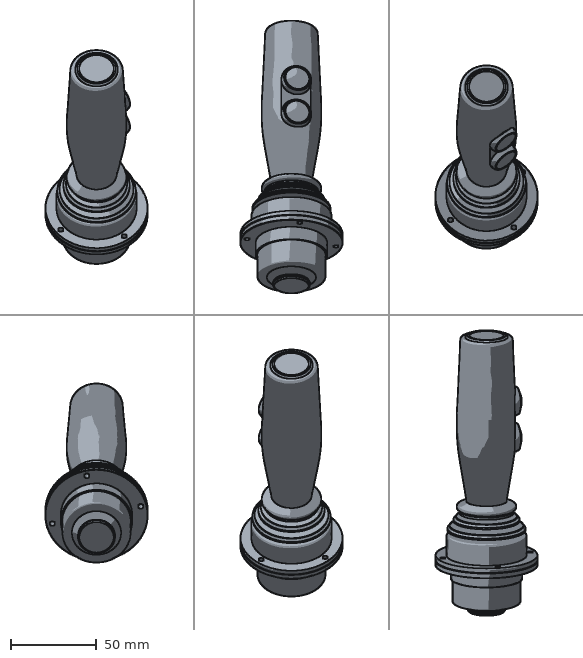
import cadquery as cq

flange_dia = 60.0
flange_edge = 0.25
flange_bevel_height = 0.8
flange_bottom = 28.1
flange_seam = 31.3
flange_top = 34.1
bolt_circle_radius = 26.5
bolt_hole_dia = 3.0
bolt_hole_count = 4

housing_dia = 47.0
housing_top = 46.8
housing_fillet = 1.5
housing_roof_top = 47.7
spigot_dia = 41.8
spigot_bottom = 20.0
can_dia = 40.0
can_bottom = 5.5
can_edge = 1.0

foot_cone_top_dia = 28.8
foot_cone_bottom_dia = 20.7
foot_dia = 21.7
foot_height = 2.5
foot_edge = 0.8

fold_pitch = 5.5
fold_shoulder_drop = 1.5
fold_rim_drop = 3.3
fold_rim_height = 1.0
fold_shoulder_height = 0.5
neck_height = 0.5
bellows_top = 59.2
neck_radii = [10.9, 12.9, 16.7]
shoulder_radii = [17.9, 21.5]
rim_radii = [19.4, 23.0]

lip_radius = 15.9
lip_top = 61.0
lip_bottom = 59.7
collar_radius = 17.48
collar_bottom_radius = 16.0
collar_top = 67.0
collar_shoulder_radius = 16.4
collar_shoulder = 65.0
collar_mid = 63.5
collar_bottom = 61.7
collar_neck_radius = 14.5
collar_neck = 61.4

grip_base = 67.5
grip_base_radius = 11.9
grip_waist = 89.0
grip_waist_radius = 15.4
grip_belly = 105.4
grip_belly_radius = 17.32
grip_taper_start = 120.8
grip_taper_radius = 17.4
grip_top = 166.3
grip_top_radius = 15.4
grip_fillet = 2.0
total_height = 167.3
cap_base_dia = 25.0
cap_rim_dia = 22.6
cap_dish_dia = 20.2
cap_dish_depth = 0.3

button_dia = 17.5
button_face_dia = 14.0
lower_button_height = 104.5
button_spacing = 21.9
button_seat = 14.9
button_root = 11.7
button_face = 18.7
button_rim_dia = 15.9
button_wall_mid_dia = 17.2
button_wall_mid = 17.2
button_tip = 20.9
recess_depth = 6.7


def ring(bottom, top, diameter):
    """Solid disc on the main axis between two heights."""
    return cq.Workplane("XY").workplane(offset=bottom).circle(diameter / 2).extrude(top - bottom)


def frustum(bottom, top, bottom_dia, top_dia):
    """Truncated cone on the main axis between two heights."""
    return (
        cq.Workplane("XY").workplane(offset=bottom).circle(bottom_dia / 2)
        .workplane(offset=top - bottom).circle(top_dia / 2).loft()
    )


def make_base():
    """Foot, can, spigot and housing below the bellows."""
    foot = ring(0, foot_height, foot_dia).edges().chamfer(foot_edge)
    cone = frustum(foot_height, can_bottom, foot_cone_bottom_dia, foot_cone_top_dia)
    can = ring(can_bottom, spigot_bottom, can_dia).faces("<Z").edges().fillet(can_edge)
    spigot = ring(spigot_bottom, flange_bottom, spigot_dia)
    housing = ring(flange_top, housing_top, housing_dia).faces(">Z").edges().fillet(housing_fillet)
    roof_dia = housing_dia - 2 * housing_fillet
    roof = frustum(housing_top, housing_roof_top, roof_dia, 2 * neck_radii[-1])
    return foot.union(cone).union(can).union(spigot).union(housing).union(roof)


def make_flange():
    """Two stacked discs with screw holes through both."""
    lower = ring(flange_bottom, flange_seam, flange_dia).edges().chamfer(flange_edge)
    upper = ring(flange_seam, flange_top, flange_dia).faces("<Z").edges().chamfer(flange_edge)
    upper = upper.faces(">Z").edges().chamfer(flange_bevel_height, flange_edge)
    holes = (
        cq.Workplane("XY").workplane(offset=flange_bottom)
        .polarArray(bolt_circle_radius, 0, 360, bolt_hole_count)
        .circle(bolt_hole_dia / 2).extrude(flange_top - flange_bottom)
    )
    return lower.union(upper).cut(holes)


def make_stem():
    """Bellows, collar and grip turned from one half profile."""
    profile = (
        cq.Workplane("XZ").moveTo(0, grip_top)
        .lineTo(grip_top_radius, grip_top)
        .lineTo(grip_taper_radius, grip_taper_start)
        .threePointArc((grip_belly_radius, grip_belly), (grip_waist_radius, grip_waist))
        .lineTo(grip_base_radius, grip_base)
        .lineTo(grip_base_radius, collar_top)
        .lineTo(collar_shoulder_radius, collar_shoulder)
        .threePointArc((collar_radius, collar_mid), (collar_bottom_radius, collar_bottom))
        .lineTo(collar_neck_radius, collar_neck)
        .lineTo(lip_radius, lip_top)
        .lineTo(lip_radius, lip_bottom)
        .lineTo(neck_radii[0], bellows_top)
        .lineTo(neck_radii[0], bellows_top - neck_height)
    )
    for fold, (shoulder, rim) in enumerate(zip(shoulder_radii, rim_radii)):
        fold_top = bellows_top - fold * fold_pitch
        shoulder_top = fold_top - fold_shoulder_drop
        rim_top = fold_top - fold_rim_drop
        next_neck = fold_top - fold_pitch
        next_neck_radius = neck_radii[fold + 1]
        profile = (
            profile.lineTo(shoulder, shoulder_top)
            .lineTo(shoulder, shoulder_top - fold_shoulder_height)
            .lineTo(rim, rim_top)
            .lineTo(rim, rim_top - fold_rim_height)
            .lineTo(next_neck_radius, next_neck)
            .lineTo(next_neck_radius, next_neck - neck_height)
        )
    profile = profile.lineTo(neck_radii[-1], housing_top).lineTo(0, housing_top).close()
    stem = profile.revolve(360, (0, 0), (0, 1))
    return stem.faces(">Z").edges().fillet(grip_fillet)


def make_cap():
    """Bevelled disc with a shallow dish, set on the end of the grip."""
    cap = frustum(grip_top, total_height, cap_base_dia, cap_rim_dia)
    return cap.cut(ring(total_height - cap_dish_depth, total_height, cap_dish_dia))


def make_button_recess():
    """Flat-bottomed slot that joins both button seats."""
    middle = lower_button_height + button_spacing / 2
    return (
        cq.Workplane("XZ", origin=(0, button_seat, middle))
        .slot2D(button_spacing + button_dia, button_dia, 90).extrude(-recess_depth)
    )


def make_button(height):
    """Round button with a rounded wall, a narrow rim and a domed face, axis along +Y."""
    radius = button_dia / 2
    face_radius = button_face_dia / 2
    dome_height = button_tip - button_face
    dome_radius = (face_radius**2 + dome_height**2) / (2 * dome_height)
    return (
        cq.Workplane("XY").moveTo(0, button_root)
        .lineTo(radius, button_root)
        .lineTo(radius, button_seat)
        .threePointArc((button_wall_mid_dia / 2, button_wall_mid), (button_rim_dia / 2, button_face))
        .lineTo(face_radius, button_face)
        .radiusArc((0, button_tip), -dome_radius)
        .close()
        .revolve(360, (0, 0), (0, 1))
        .translate((0, 0, height))
    )


result = make_base().union(make_flange()).union(make_stem()).union(make_cap())
result = result.cut(make_button_recess())
for button_height in (lower_button_height, lower_button_height + button_spacing):
    result = result.union(make_button(button_height))